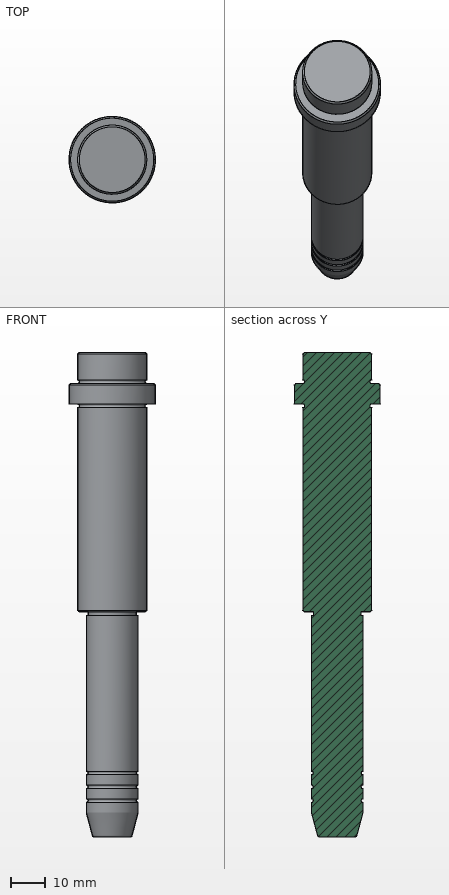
import cadquery as cq
import math

total_length = 140.0
head_radius = 20.0 / 2
flange_radius = 25.0 / 2
body_radius = 20.0 / 2
pilot_radius = 15.0 / 2

flange_top_depth = 9.0
flange_bottom_depth = 15.0
body_end_depth = 75.0
taper_start_depth = 133.0

edge_chamfer = 0.5
tip_fillet = 0.5

groove_radius = 0.5
ring_count = 3
ring_pitch = 4.0

neck_length = 1.0
neck_depth = 0.5

taper_angle = 15.0

flange_top_z = total_length - flange_top_depth
flange_bottom_z = total_length - flange_bottom_depth
body_end_z = total_length - body_end_depth
taper_start_z = total_length - taper_start_depth
tip_radius = pilot_radius - taper_start_z * math.tan(math.radians(taper_angle))


def add_groove(profile, radius, bottom_z):
    """Continue an upward-running profile at bottom_z with a half-round groove."""
    deepest_point = (radius - groove_radius, bottom_z + groove_radius)
    return profile.threePointArc(deepest_point, (radius, bottom_z + 2 * groove_radius))


def add_pilot(profile):
    """Tapered tip, ring grooves and neck, up to the underside of the body."""
    profile = profile.lineTo(tip_radius, 0).lineTo(pilot_radius, taper_start_z)
    for ring in range(1, ring_count + 1):
        groove_bottom_z = taper_start_z + ring * ring_pitch - 2 * groove_radius
        profile = profile.lineTo(pilot_radius, groove_bottom_z)
        profile = add_groove(profile, pilot_radius, groove_bottom_z)
    profile = profile.lineTo(pilot_radius, body_end_z - neck_length)
    neck_radius = pilot_radius - neck_depth
    profile = profile.lineTo(neck_radius, body_end_z - neck_length)
    return profile.lineTo(neck_radius, body_end_z)


def add_body(profile):
    """Body with a chamfered lower edge and an undercut below the flange."""
    profile = profile.lineTo(body_radius - edge_chamfer, body_end_z)
    profile = profile.lineTo(body_radius, body_end_z + edge_chamfer)
    groove_bottom_z = flange_bottom_z - 2 * groove_radius
    profile = profile.lineTo(body_radius, groove_bottom_z)
    return add_groove(profile, body_radius, groove_bottom_z)


def add_flange(profile):
    """Flange with a chamfered upper edge."""
    profile = profile.lineTo(flange_radius, flange_bottom_z)
    profile = profile.lineTo(flange_radius, flange_top_z - edge_chamfer)
    profile = profile.lineTo(flange_radius - edge_chamfer, flange_top_z)
    return profile.lineTo(head_radius, flange_top_z)


def add_head(profile):
    """Head with an undercut above the flange and a chamfered top edge."""
    profile = add_groove(profile, head_radius, flange_top_z)
    profile = profile.lineTo(head_radius, total_length - edge_chamfer)
    profile = profile.lineTo(head_radius - edge_chamfer, total_length)
    return profile.lineTo(0, total_length)


outline = cq.Workplane("XZ").moveTo(0, 0)
outline = add_pilot(outline)
outline = add_body(outline)
outline = add_flange(outline)
outline = add_head(outline)

pin = outline.close().revolve(360, (0, 0, 0), (0, 1, 0))
result = pin.faces("<Z").edges().fillet(tip_fillet)